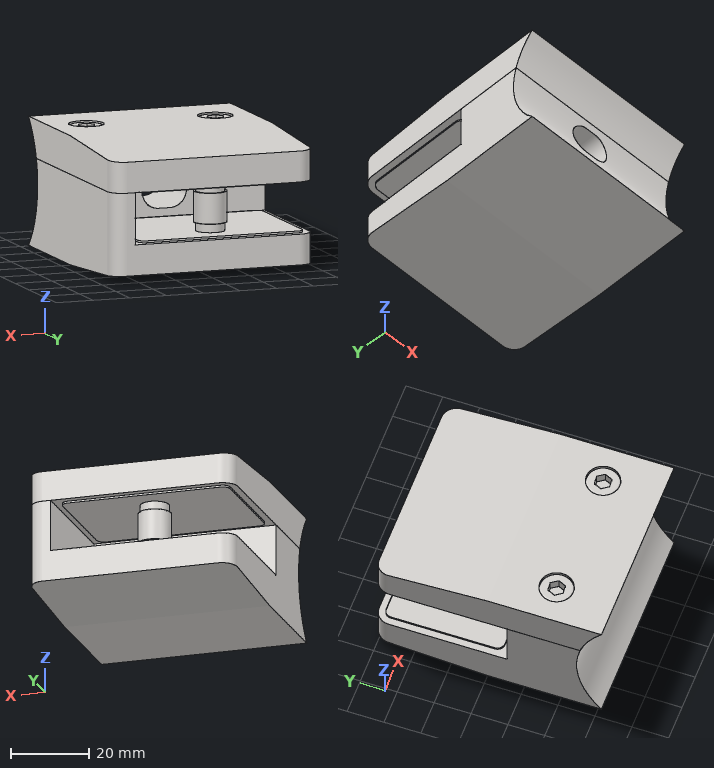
import cadquery as cq
import math

WIDTH = 55.0
LENGTH = 61.75
HEIGHT = 33.5
LEFT = -WIDTH / 2
RIGHT = WIDTH / 2
TOP = HEIGHT / 2

TUBE_RADIUS = 24.15
TAPER_START = 30.75
TAPER_DROP = 2.0
CORNER_RADIUS = 4.0

SLOT_HEIGHT = 13.5
SLOT_FLOOR = 25.6
END_WALL = 6.2
SLOT_TOP = SLOT_HEIGHT / 2
SLOT_RIGHT = RIGHT - END_WALL
SLOT_CENTER_X = (LEFT + SLOT_RIGHT) / 2

MOUNT_HOLE_LENGTH = 12.05
MOUNT_HOLE_HEIGHT = 9.0

PAD_MARGIN = 2.0
PAD_THICKNESS = 0.5
PAD_RADIUS = 2.0

PIN_DIAMETER = 7.55
PIN_COLLAR_DIAMETER = 8.6
PIN_COLLAR_HEIGHT = 8.0
PIN_Y = 50.8

SCREW_SPACING = 35.1
SCREW_Y = 15.75
HEAD_DIAMETER = 9.0
HEAD_HEIGHT = 5.0
HEAD_RECESS = 0.3
HEAD_FILLET = 0.7
SHANK_DIAMETER = 5.0
SHANK_LENGTH = 15.0
HEX_ACROSS_FLATS = 4.0
HEX_DEPTH = 2.55
HEX_ANGLE = 5.0
HEAD_TOP = TOP - HEAD_RECESS
HEAD_BOTTOM = HEAD_TOP - HEAD_HEIGHT
SCREW_POSITIONS = [(-SCREW_SPACING / 2, SCREW_Y), (SCREW_SPACING / 2, SCREW_Y)]


def box_between(x_range, y_range, z_range):
    """Box spanning the given (low, high) range on each axis."""
    size = [high - low for low, high in (x_range, y_range, z_range)]
    corner = (x_range[0], y_range[0], z_range[0])
    return cq.Workplane("XY").box(*size, centered=False).translate(corner)


def clamp_block():
    """Whole outer block: tapered jaws, concave tube seat and rounded mouth corners."""
    seat_depth = TUBE_RADIUS - math.sqrt(TUBE_RADIUS**2 - TOP**2)
    return (
        cq.Workplane("YZ", origin=(LEFT, 0, 0))
        .moveTo(0, TOP)
        .lineTo(TAPER_START, TOP)
        .lineTo(LENGTH, TOP - TAPER_DROP)
        .lineTo(LENGTH, -TOP + TAPER_DROP)
        .lineTo(TAPER_START, -TOP)
        .lineTo(0, -TOP)
        .threePointArc((seat_depth, 0), (0, TOP))
        .close()
        .extrude(WIDTH)
        .edges("|Z and >Y")
        .fillet(CORNER_RADIUS)
    )


def cover_space():
    """Region above the parting plane, which is level with the slot's upper face."""
    return box_between((LEFT, RIGHT), (0, LENGTH), (SLOT_TOP, TOP))


def screw_blank(x, y):
    """Plain screw envelope, used for the screw and for its hole."""
    head = cq.Workplane("XY", origin=(x, y, HEAD_BOTTOM)).circle(HEAD_DIAMETER / 2).extrude(HEAD_HEIGHT)
    return head.faces("<Z").workplane().circle(SHANK_DIAMETER / 2).extrude(SHANK_LENGTH)


def screw_hole(x, y):
    """Stepped hole that fits a screw and opens at the top face."""
    recess = cq.Workplane("XY", origin=(x, y, HEAD_TOP)).circle(HEAD_DIAMETER / 2).extrude(HEAD_RECESS)
    return screw_blank(x, y).union(recess)


def make_base():
    """Lower jaw with the slot body, end wall and mounting hole."""
    base = clamp_block().cut(cover_space())
    slot = box_between((LEFT, SLOT_RIGHT), (SLOT_FLOOR, LENGTH), (-SLOT_TOP, SLOT_TOP))
    mount_hole = cq.Workplane("XZ").slot2D(MOUNT_HOLE_LENGTH, MOUNT_HOLE_HEIGHT).extrude(-SLOT_FLOOR)
    base = base.cut(slot).cut(mount_hole)
    for x, y in SCREW_POSITIONS:
        base = base.cut(screw_hole(x, y))
    return base


def make_cover():
    """Upper jaw, resting on the base and held by the screws."""
    cover = clamp_block().intersect(cover_space())
    for x, y in SCREW_POSITIONS:
        cover = cover.cut(screw_hole(x, y))
    return cover


def make_screw(x, y):
    """Socket-head screw with a rounded head."""
    hex_across_corners = HEX_ACROSS_FLATS / math.cos(math.radians(30))
    socket = (
        cq.Workplane("XY")
        .polygon(6, hex_across_corners)
        .extrude(-HEX_DEPTH)
        .rotate((0, 0, 0), (0, 0, 1), HEX_ANGLE)
        .translate((x, y, HEAD_TOP))
    )
    return screw_blank(x, y).faces(">Z").edges().fillet(HEAD_FILLET).cut(socket)


def make_pad(bottom):
    """Thin rounded pad with its lower face at the given height."""
    pad = box_between(
        (LEFT + PAD_MARGIN, SLOT_RIGHT - PAD_MARGIN),
        (SLOT_FLOOR + PAD_MARGIN, LENGTH - PAD_MARGIN),
        (bottom, bottom + PAD_THICKNESS),
    )
    return pad.edges("|Z").fillet(PAD_RADIUS)


def make_pin():
    """Pin spanning the pads, with a wider collar at mid height."""
    pin_top = SLOT_TOP - PAD_THICKNESS
    collar_top = PIN_COLLAR_HEIGHT / 2
    outer_points = [
        (-PIN_DIAMETER / 2, pin_top),
        (-PIN_DIAMETER / 2, collar_top),
        (-PIN_COLLAR_DIAMETER / 2, collar_top),
        (-PIN_COLLAR_DIAMETER / 2, -collar_top),
        (-PIN_DIAMETER / 2, -collar_top),
        (-PIN_DIAMETER / 2, -pin_top),
    ]
    return (
        cq.Workplane("XZ", origin=(SLOT_CENTER_X, PIN_Y, 0))
        .polyline([(0, pin_top), *outer_points, (0, -pin_top)])
        .close()
        .revolve(360, (0, 0), (0, 1))
    )


base = make_base()
cover = make_cover()
pin = make_pin()
screws = [make_screw(x, y) for x, y in SCREW_POSITIONS]
pads = [make_pad(bottom) for bottom in (-SLOT_TOP, SLOT_TOP - PAD_THICKNESS)]

result = cq.Compound.makeCompound(
    [base.val(), cover.val(), pin.val()] + [body.val() for body in screws + pads]
)